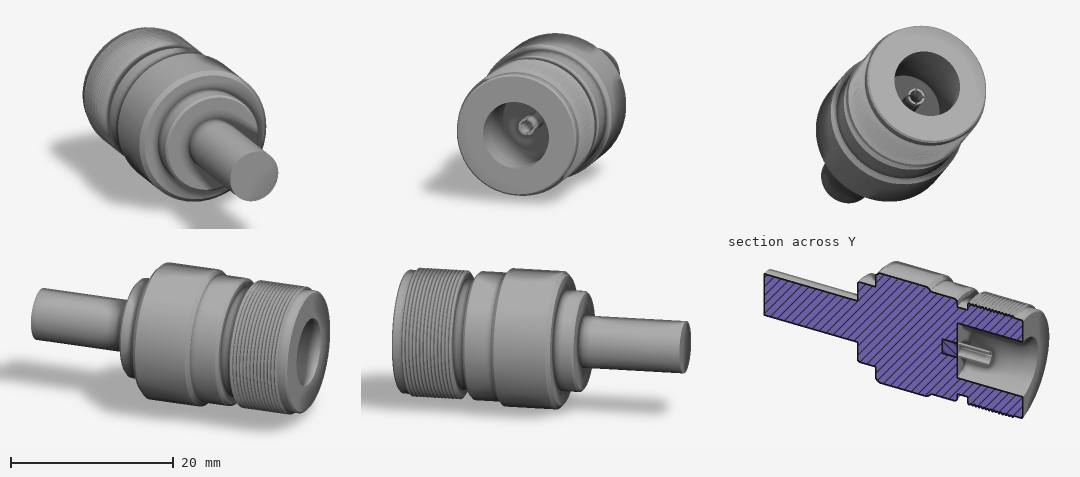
import cadquery as cq


thread_start = 1.22
thread_count = 14
thread_length = 6.35
thread_pitch = thread_length / thread_count
thread_end = thread_start + thread_length
collar_start = 8.97
barrel_start = 12.56
barrel_end = 20.06
hub_end = 22.56
tail_end = 35.26

nose_radius = 7.62
thread_crest_radius = 7.94
relief_radius = 6.75
collar_radius = 7.94
barrel_radius = 8.51
hub_radius = 6.22
tail_radius = 3.22

nose_chamfer = 0.2
collar_chamfer = 0.3
barrel_chamfer = 0.5
hub_chamfer = 0.25

bore_radius = 4.2
bore_depth = collar_start
contact_radius = 1.04
contact_bore_radius = 0.8
contact_tip = 4.75
contact_seat_depth = 2.0
contact_end = bore_depth + contact_seat_depth
slot_width = 0.18
slot_length = bore_depth - contact_tip


def cylinder(radius, start, end):
    """Solid cylinder on the X axis between two stations."""
    return cq.Workplane("YZ").workplane(offset=start).circle(radius).extrude(end - start)


def thread_points():
    """Crest and following root of each V ridge, as (x, radius)."""
    points = []
    for ridge in range(thread_count):
        ridge_start = thread_start + ridge * thread_pitch
        points.append((ridge_start + thread_pitch / 2, thread_crest_radius))
        points.append((ridge_start + thread_pitch, nose_radius))
    return points


def make_housing():
    """Turned outer shape, bored for mating and drilled to seat the contact."""
    profile = [
        (0, 0),
        (0, nose_radius - nose_chamfer),
        (nose_chamfer, nose_radius),
        (thread_start, nose_radius),
        *thread_points(),
        (thread_end, relief_radius),
        (collar_start, relief_radius),
        (collar_start, collar_radius - collar_chamfer),
        (collar_start + collar_chamfer, collar_radius),
        (barrel_start, collar_radius),
        (barrel_start, barrel_radius - barrel_chamfer),
        (barrel_start + barrel_chamfer, barrel_radius),
        (barrel_end - barrel_chamfer, barrel_radius),
        (barrel_end, barrel_radius - barrel_chamfer),
        (barrel_end, hub_radius),
        (hub_end - hub_chamfer, hub_radius),
        (hub_end, hub_radius - hub_chamfer),
        (hub_end, tail_radius),
        (tail_end, tail_radius),
        (tail_end, 0),
    ]
    turned = cq.Workplane("XY").polyline(profile).close().revolve(360, (0, 0, 0), (1, 0, 0))
    mating_bore = cylinder(bore_radius, 0, bore_depth)
    contact_seat = cylinder(contact_radius, bore_depth, contact_end)
    return turned.cut(mating_bore).cut(contact_seat)


def make_contact():
    """Socket contact: a pin with a blind bore and two crossed slots at its tip."""
    contact = cylinder(contact_radius, contact_tip, contact_end)
    contact = contact.cut(cylinder(contact_bore_radius, contact_tip, contact_tip + slot_length))
    slot_center = contact_tip + slot_length / 2
    slot = cq.Workplane("XY").box(slot_length, 2 * contact_radius, slot_width)
    slot = slot.translate((slot_center, 0, 0))
    for angle in (0, 90):
        contact = contact.cut(slot.rotate((0, 0, 0), (1, 0, 0), angle))
    return contact


housing = make_housing()
contact = make_contact()
result = cq.Compound.makeCompound([housing.val(), contact.val()])